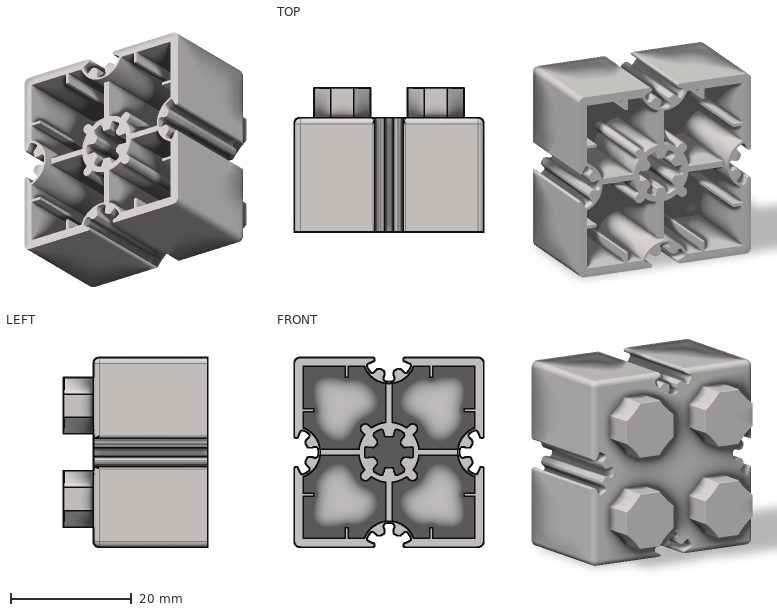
import cadquery as cq
import math

BLOCK_SIZE = 31.5
BLOCK_DEPTH = 19.0
WALL = 1.5
FLOOR = 1.5
EDGE_RADIUS = 1.0
HALF_SIZE = BLOCK_SIZE / 2
CAVITY_DEPTH = BLOCK_DEPTH - FLOOR

WEB_THICKNESS = 1.0
CORE_RECESS = 1.5
TUBE_RADIUS = 5.0
TUBE_LUG_RADIUS = 0.8
TUBE_LUG_REACH = 5.55
TUBE_LUG_ANGLE = 45
RIB_THICKNESS = 0.5
RIB_HEIGHT = 1.75
RIB_OFFSET = 7.0

GROOVE_SHELL_RADIUS = 4.34
GROOVE_FLOOR_RADIUS = 4.0
GROOVE_FLOOR_HALF_WIDTH = 0.9
GROOVE_SIDE_RADIUS = 3.92
GROOVE_SIDE_ANGLES = (18, 44)
GROOVE_TOOTH_CREST = 1.88
GROOVE_TOOTH_SHOULDER = 2.27
GROOVE_TOOTH_CREST_SPAN = (1.43, 1.90)
GROOVE_NECK_HALF_WIDTH = 0.74
GROOVE_NECK_DEPTH = 3.0
GROOVE_BULB_DEPTH = 3.35
GROOVE_CORNER_RADIUS = 0.35
GROOVE_FLOOR_CORNER_RADIUS = 0.5
LIP_HALF_GAP = 2.36
LIP_THICKNESS = 0.72
LIP_RADIUS = LIP_THICKNESS / 2

BORE_RADIUS = 4.05
BORE_SIDE_HALF_WIDTH = 0.92
BORE_SIDE_NECK = (2.50, 0.78)
BORE_HOLLOW_ANGLES = (51, 74)
BORE_TOOTH_TIP = 1.92
BORE_TOOTH_TIP_SPAN = (1.42, 1.90)
BORE_TOOTH_ROOT = (2.58, 2.72)
BORE_TOP_TOOTH_HALF_WIDTH = 0.76
BORE_TOP_TOOTH_TIP = 2.55
BORE_TOP_TOOTH_NECK = 2.95
BORE_CORNER_RADIUS = 0.3

PEG_SPACING = 15.5
PEG_WIDTH = 9.4
PEG_FLAT = 3.85
PEG_HEIGHT = 5.0
PEG_CORNER_SAG = 0.15
PEG_EDGE_RADIUS = 0.15


def front_plane():
    """Sketch plane on the open face: local x is X, local y is Z, extruding toward -Y."""
    return cq.Workplane("XZ")


def extrude_back(sketch, depth):
    """Extrude a sketch from the front face toward +Y."""
    return sketch.extrude(-depth)


def set_back(shape):
    """Remove the front part of a shape, down to the recessed face of the core."""
    return shape.cut(extrude_back(front_plane().rect(BLOCK_SIZE, BLOCK_SIZE), CORE_RECESS))


def around_sides(shape):
    """Join four copies of a shape turned about the Y axis, one for each side."""
    joined = shape
    for turn in (90, 180, 270):
        joined = joined.union(shape.rotate((0, 0, 0), (0, 1, 0), turn))
    return joined


def polar(radius, angle):
    """Point at a radius and an angle in degrees."""
    return (radius * math.cos(math.radians(angle)), radius * math.sin(math.radians(angle)))


def arc_points(radius, angles):
    """Start, middle and end of an arc about the origin between two angles in degrees."""
    start, end = angles
    return polar(radius, start), polar(radius, (start + end) / 2), polar(radius, end)


def make_block():
    block = extrude_back(front_plane().rect(BLOCK_SIZE, BLOCK_SIZE), BLOCK_DEPTH)
    return block.edges("|Y").fillet(EDGE_RADIUS).faces(">Y").edges().fillet(EDGE_RADIUS)


def make_tube():
    tube = extrude_back(front_plane().circle(TUBE_RADIUS), CAVITY_DEPTH)
    lug_tip = front_plane().center(*polar(TUBE_LUG_REACH, TUBE_LUG_ANGLE)).circle(TUBE_LUG_RADIUS)
    lug_stem = (
        front_plane()
        .transformed(rotate=(0, 0, TUBE_LUG_ANGLE))
        .center(TUBE_LUG_REACH / 2, 0)
        .rect(TUBE_LUG_REACH, 2 * TUBE_LUG_RADIUS)
    )
    lug = extrude_back(lug_tip, CAVITY_DEPTH).union(extrude_back(lug_stem, CAVITY_DEPTH))
    return set_back(tube.union(around_sides(lug)))


def make_side_walls():
    """Web, groove shell and ribs of the +Z side, repeated on all four sides."""
    web = extrude_back(front_plane().center(0, HALF_SIZE / 2).rect(WEB_THICKNESS, HALF_SIZE), CAVITY_DEPTH)
    web = set_back(web)
    shell = extrude_back(front_plane().center(0, HALF_SIZE).circle(GROOVE_SHELL_RADIUS), CAVITY_DEPTH)
    rib_middle = HALF_SIZE - WALL - RIB_HEIGHT / 2
    ribs = extrude_back(
        front_plane()
        .pushPoints([(-RIB_OFFSET, rib_middle), (RIB_OFFSET, rib_middle)])
        .rect(RIB_THICKNESS, RIB_HEIGHT),
        CAVITY_DEPTH,
    )
    return around_sides(web.union(shell).union(ribs))


def make_cavity():
    """Empty space left around the tube, webs, ribs and groove shells."""
    inner_size = BLOCK_SIZE - 2 * WALL
    space = extrude_back(front_plane().rect(inner_size, inner_size), CAVITY_DEPTH)
    return space.cut(make_tube()).cut(make_side_walls())


def edges_between_depths(upper, lower):
    """Select edges of the +Z groove by their depth below the outer surface."""
    return cq.selectors.BoxSelector(
        (-HALF_SIZE, 0, HALF_SIZE - lower),
        (HALF_SIZE, BLOCK_DEPTH, HALF_SIZE - upper),
    )


def make_groove():
    """Undercut groove of the +Z side: two rounded teeth between three hollows."""
    lip_edge = LIP_HALF_GAP + LIP_RADIUS
    side_start, side_middle, side_end = arc_points(GROOVE_SIDE_RADIUS, GROOVE_SIDE_ANGLES)
    crest_inner, crest_outer = GROOVE_TOOTH_CREST_SPAN
    tooth = [
        (crest_outer, GROOVE_TOOTH_CREST),
        (crest_inner, GROOVE_TOOTH_CREST),
        (GROOVE_NECK_HALF_WIDTH, GROOVE_TOOTH_SHOULDER),
        (GROOVE_NECK_HALF_WIDTH, GROOVE_NECK_DEPTH),
        (GROOVE_FLOOR_HALF_WIDTH, GROOVE_BULB_DEPTH),
    ]
    floor_corner_depth = math.sqrt(GROOVE_FLOOR_RADIUS**2 - GROOVE_FLOOR_HALF_WIDTH**2)
    floor_corner = (GROOVE_FLOOR_HALF_WIDTH, floor_corner_depth)

    def right(point):
        return (point[0], -point[1])

    def left(point):
        return (-point[0], -point[1])

    outline = (
        front_plane()
        .center(0, HALF_SIZE)
        .moveTo(lip_edge, EDGE_RADIUS)
        .lineTo(lip_edge, 0)
        .threePointArc((LIP_HALF_GAP, -LIP_RADIUS), (lip_edge, -LIP_THICKNESS))
        .lineTo(*right(side_start))
        .threePointArc(right(side_middle), right(side_end))
    )
    for point in tooth + [floor_corner]:
        outline = outline.lineTo(*right(point))
    outline = outline.threePointArc((0, -GROOVE_FLOOR_RADIUS), left(floor_corner))
    for point in reversed([side_end] + tooth):
        outline = outline.lineTo(*left(point))
    outline = (
        outline.threePointArc(left(side_middle), left(side_start))
        .lineTo(-lip_edge, -LIP_THICKNESS)
        .threePointArc((-LIP_HALF_GAP, -LIP_RADIUS), (-lip_edge, 0))
        .lineTo(-lip_edge, EDGE_RADIUS)
        .close()
    )
    groove = extrude_back(outline, BLOCK_DEPTH)
    lip_limit = (LIP_THICKNESS + side_start[1]) / 2
    floor_limit = (GROOVE_BULB_DEPTH + floor_corner_depth) / 2
    floor_corners = edges_between_depths(floor_limit, GROOVE_FLOOR_RADIUS)
    tooth_corners = edges_between_depths(lip_limit, floor_limit)
    groove = groove.edges("|Y").edges(tooth_corners).fillet(GROOVE_CORNER_RADIUS)
    return groove.edges("|Y").edges(floor_corners).fillet(GROOVE_FLOOR_CORNER_RADIUS)


def make_bore():
    """Bore of the central tube, symmetric about X and Z, with six rounded teeth."""
    tip_lower, tip_upper = BORE_TOOTH_TIP_SPAN
    hollow_start, hollow_middle, hollow_end = arc_points(BORE_RADIUS, BORE_HOLLOW_ANGLES)
    side_to_hollow = [
        (BORE_RADIUS, 0),
        (BORE_RADIUS, BORE_SIDE_HALF_WIDTH),
        BORE_SIDE_NECK,
        (BORE_TOOTH_TIP, tip_lower),
        (BORE_TOOTH_TIP, tip_upper),
        BORE_TOOTH_ROOT,
        hollow_start,
    ]
    top_tooth = [
        (BORE_TOP_TOOTH_HALF_WIDTH, BORE_TOP_TOOTH_NECK),
        (BORE_TOP_TOOTH_HALF_WIDTH, BORE_TOP_TOOTH_TIP),
        (0, BORE_TOP_TOOTH_TIP),
    ]

    quarter = front_plane().moveTo(0, 0)
    for point in side_to_hollow:
        quarter = quarter.lineTo(*point)
    quarter = quarter.threePointArc(hollow_middle, hollow_end)
    for point in top_tooth:
        quarter = quarter.lineTo(*point)
    quarter = extrude_back(quarter.close(), CAVITY_DEPTH)
    half = quarter.union(quarter.mirror("YZ"))
    bore = half.union(half.mirror("XY")).clean()
    return bore.edges("|Y").fillet(BORE_CORNER_RADIUS)


def make_pegs():
    """Four square pegs on the back, their corners cut by shallow hollow arcs."""
    half_width = PEG_WIDTH / 2
    half_flat = PEG_FLAT / 2
    arc_middle = (half_width + half_flat) / 2 - PEG_CORNER_SAG / math.sqrt(2)
    outline = front_plane().moveTo(half_width, -half_flat)
    for side_x, side_z in ((1, 1), (-1, 1), (-1, -1), (1, -1)):
        start = (side_x * half_width, side_z * half_flat)
        end = (side_x * half_flat, side_z * half_width)
        if side_x != side_z:
            start, end = end, start
        outline = outline.lineTo(*start)
        outline = outline.threePointArc((side_x * arc_middle, side_z * arc_middle), end)
    peg = extrude_back(outline.close(), FLOOR + PEG_HEIGHT)
    peg = peg.faces(">Y").edges().fillet(PEG_EDGE_RADIUS)
    peg = peg.translate((PEG_SPACING / 2, CAVITY_DEPTH, PEG_SPACING / 2))
    return around_sides(peg)


result = make_block().cut(make_cavity()).cut(around_sides(make_groove())).cut(make_bore())
result = result.union(make_pegs())